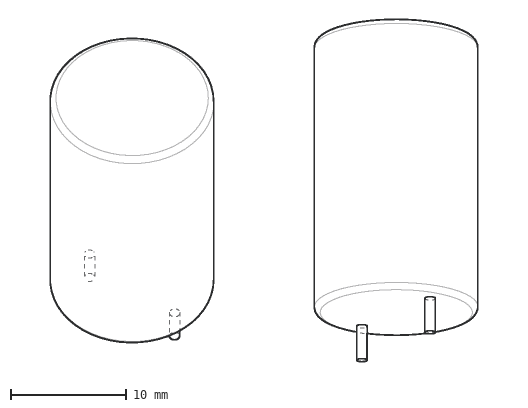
import cadquery as cq

total_height = 27.6
can_diameter = 14.2
rim_radius = 0.5
pin_diameter = 0.9
pin_length = 3.1
pin_spacing = 10.0

can_height = total_height - pin_length


def make_can():
    """Can with its base on Z = 0 and both rims rounded."""
    can = cq.Workplane("XY").circle(can_diameter / 2).extrude(can_height)
    return can.faces("<Z or >Z").edges().fillet(rim_radius)


def make_pins():
    """Pair of pins along X, hanging below the base."""
    pin_centers = [(-pin_spacing / 2, 0), (pin_spacing / 2, 0)]
    return cq.Workplane("XY").pushPoints(pin_centers).circle(pin_diameter / 2).extrude(-pin_length)


result = make_can().union(make_pins())